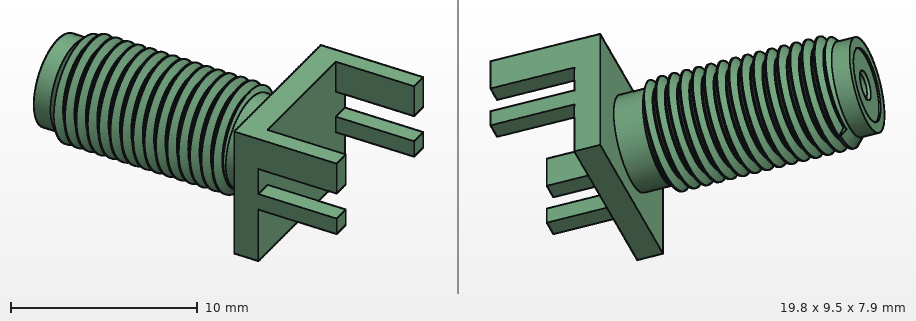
import cadquery as cq
import math

length = 19.8
plate_width = 9.5
plate_height = 7.9

thread_start = 1.03
thread_end = 11.85
plate_front = 13.5
plate_back = 14.99

nose_radius = 2.65
neck_radius = 2.71
crest_radius = 3.15
lead_chamfer = crest_radius - nose_radius
end_chamfer_length = 0.24
end_chamfer_depth = 0.44

pitch = 0.699
root_radius = 2.63
root_flat = 0.08
crest_flat = 0.08
groove_start = 1.3
rod_overhang = 2.97
groove_clearance = 0.04

recess_radius = 2.05
recess_depth = 0.1
socket_radius = 0.67
socket_mouth_radius = 0.83
socket_chamfer = socket_mouth_radius - socket_radius
socket_depth = 2.38

leg_width = 1.0
upper_leg_height = 1.95
lower_leg_height = 1.0
lower_leg_top = 0.4


def cylinder(radius, start, end):
    """Round bar on the X axis between two stations."""
    return cq.Workplane("YZ", origin=(start, 0, 0)).circle(radius).extrude(end - start)


def thread_groove():
    """Solid helical ridge that is cut from the thread blank."""
    flank_run = (pitch - root_flat - crest_flat) / 2
    flank_slope = flank_run / (crest_radius - root_radius)
    root_half = root_flat / 2
    outer_half = root_half + flank_run + flank_slope * groove_clearance
    outer_radius = crest_radius + groove_clearance
    turns = math.ceil((thread_end - groove_start) / pitch) + 1

    path = cq.Wire.makeHelix(pitch, turns * pitch, root_radius)
    groove = (
        cq.Workplane("XZ")
        .polyline([
            (root_radius, -root_half),
            (outer_radius, -outer_half),
            (outer_radius, outer_half),
            (root_radius, root_half),
        ])
        .close()
        .sweep(cq.Workplane(obj=path), isFrenet=True)
    )
    return groove.rotate((0, 0, 0), (0, 1, 0), 90).translate((groove_start, 0, 0))


def threaded_sleeve():
    """Thread blank with tapered ends, with the helical groove cut into it."""
    blank = (
        cq.Workplane("XY")
        .moveTo(thread_start, 0)
        .lineTo(thread_start, crest_radius - lead_chamfer)
        .lineTo(thread_start + lead_chamfer, crest_radius)
        .lineTo(thread_end - end_chamfer_length, crest_radius)
        .lineTo(thread_end, crest_radius - end_chamfer_depth)
        .lineTo(thread_end, 0)
        .close()
        .revolve(360, (0, 0, 0), (1, 0, 0))
    )
    rod = cylinder(crest_radius, thread_start - rod_overhang, thread_end + rod_overhang)
    return rod.cut(thread_groove()).intersect(blank)


def mating_face_cuts():
    """Shallow round recess and the chamfered contact socket in its floor."""
    recess = cylinder(recess_radius, 0, recess_depth)
    socket = cylinder(socket_radius, recess_depth, recess_depth + socket_depth)
    mouth = cq.Workplane(obj=cq.Solid.makeCone(
        socket_mouth_radius, socket_radius, socket_chamfer,
        cq.Vector(recess_depth, 0, 0), cq.Vector(1, 0, 0),
    ))
    return recess.union(socket).union(mouth)


def flange():
    """Rectangular plate with two pairs of legs along its sides."""
    body = cq.Workplane("XY").box(
        plate_back - plate_front, plate_width, plate_height
    ).translate(((plate_front + plate_back) / 2, 0, 0))
    for side in (-1, 1):
        for top, height in (
            (plate_height / 2, upper_leg_height),
            (lower_leg_top, lower_leg_height),
        ):
            leg = cq.Workplane("XY").box(length - plate_front, leg_width, height).translate((
                (plate_front + length) / 2,
                side * (plate_width - leg_width) / 2,
                top - height / 2,
            ))
            body = body.union(leg)
    return body


nose = cylinder(nose_radius, 0, thread_start)
neck = cylinder(neck_radius, thread_end, plate_front)
result = (
    threaded_sleeve()
    .union(nose)
    .union(neck)
    .union(flange())
    .cut(mating_face_cuts())
)